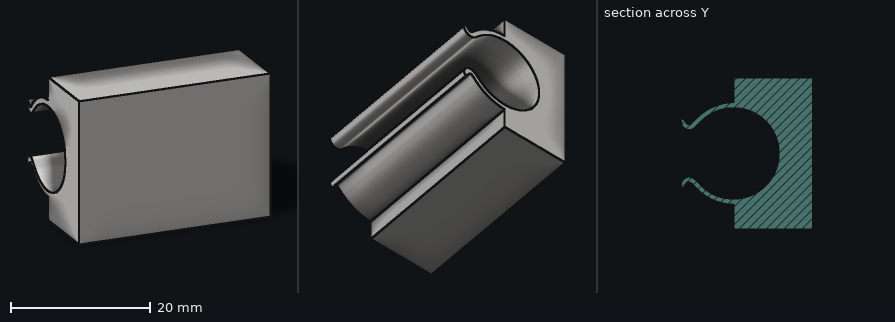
import cadquery as cq
import math

length = 30.0
block_height = 21.9
block_depth = 11.43
lip_reach = 7.62

bore_radius = 6.45
wall = 0.95
outer_radius = bore_radius + wall

neck_angle = math.radians(135)
curl_radius = 1.25
notch_radius = curl_radius - wall
curl_x = curl_radius - lip_reach
curl_z = curl_x + (bore_radius + curl_radius) * math.sqrt(2)
tip_x = -7.23
tip_z = 5.2


def polar(radius, angle, center=(0.0, 0.0)):
    """Point at an angle in radians on a circle in the XZ plane."""
    return (center[0] + radius * math.cos(angle), center[1] + radius * math.sin(angle))


curl_center = (curl_x, curl_z)
arm_mid_angle = (neck_angle + math.pi / 2) / 2

tip_distance = math.hypot(tip_x - curl_x, tip_z - curl_z)
tip_angle = math.atan2(tip_z - curl_z, tip_x - curl_x)
notch_end_angle = tip_angle + math.acos(notch_radius / tip_distance)
notch_start_angle = neck_angle - math.pi
notch_mid_angle = (notch_end_angle - 2 * math.pi + notch_start_angle) / 2

curl_mid_angle = (notch_start_angle - math.pi) / 2

tip_dx = tip_x + lip_reach
tip_dz = tip_z - curl_z
tip_curve_radius = (tip_dx ** 2 + tip_dz ** 2) / (2 * tip_dx)
tip_curve_center = (tip_curve_radius - lip_reach, curl_z)
tip_mid_angle = math.pi - math.asin(tip_dz / tip_curve_radius) / 2


def make_block():
    block = cq.Workplane("XY").box(block_depth, length, block_height)
    bore = cq.Workplane("XZ").circle(bore_radius).extrude(length / 2, both=True)
    return block.translate((block_depth / 2, 0, 0)).cut(bore)


def make_upper_arm():
    profile = (
        cq.Workplane("XZ")
        .moveTo(0, bore_radius)
        .lineTo(0, outer_radius)
        .threePointArc(polar(outer_radius, arm_mid_angle), polar(outer_radius, neck_angle))
        .lineTo(*polar(notch_radius, notch_start_angle, curl_center))
        .threePointArc(
            polar(notch_radius, notch_mid_angle, curl_center),
            polar(notch_radius, notch_end_angle, curl_center),
        )
        .lineTo(tip_x, tip_z)
        .threePointArc(
            polar(tip_curve_radius, tip_mid_angle, tip_curve_center),
            (curl_x - curl_radius, curl_z),
        )
        .threePointArc(
            polar(curl_radius, curl_mid_angle, curl_center),
            polar(curl_radius, notch_start_angle, curl_center),
        )
        .lineTo(*polar(bore_radius, neck_angle))
        .threePointArc(polar(bore_radius, arm_mid_angle), (0, bore_radius))
        .close()
    )
    return profile.extrude(length / 2, both=True)


upper_arm = make_upper_arm()
lower_arm = upper_arm.mirror("XY")
result = make_block().union(upper_arm).union(lower_arm)